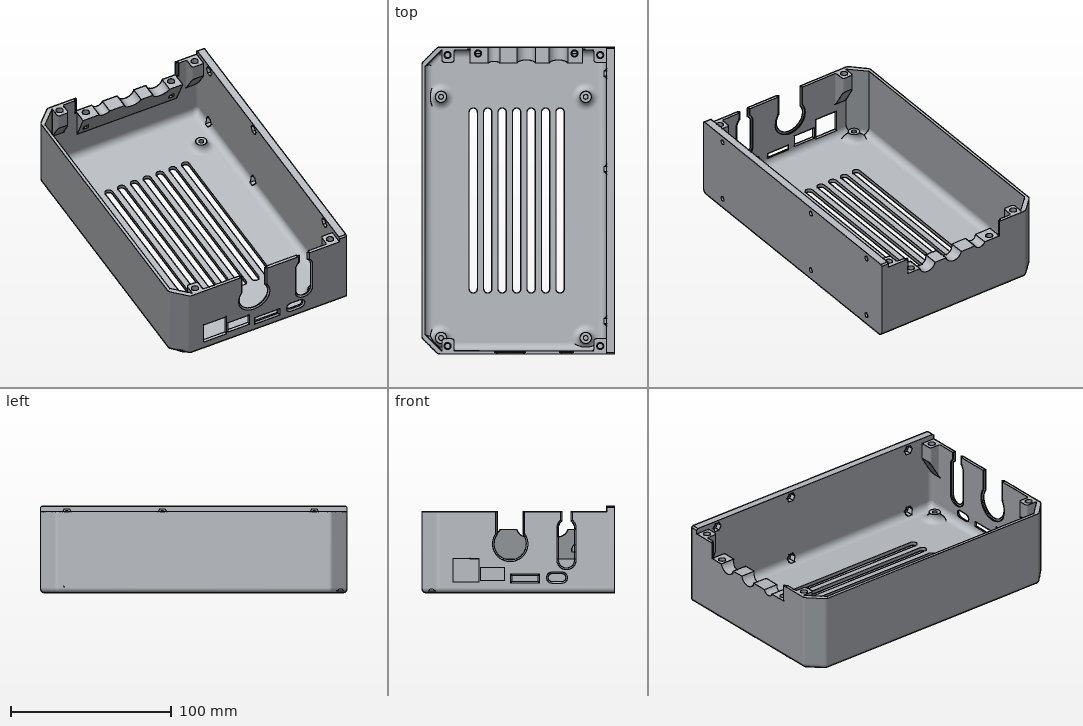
import cadquery as cq
import math

LENGTH_X = 120.0
LENGTH_Y = 191.0
WALL_TOP = 50.5
RIM_TOP = 54.0

WALL = 2.0
RIGHT_WALL = 5.0
DIAGONAL_WALL = 3.0
FLOOR = 2.5
CORNER_CUT = 10.0
OUTER_RADIUS = 3.0
CAVITY_FLOOR_RADIUS = 5.0
CAVITY_DIAGONAL_RADIUS = 3.0
CAVITY_CORNER_RADIUS = 3.0
RIM_CHAMFER = 1.0
RIM_OVERLAP = 10.0

RIGHT_INNER = LENGTH_X - RIGHT_WALL
BACK_INNER = LENGTH_Y - WALL

POST_SIZE_Y = 9.5
POST_LEFT_X = (12.5, 20.0)
POST_RIGHT_X = (107.0, RIGHT_INNER)
POST_FRONT_Z = 40.0
POST_UNDERSIDE_ANGLE = 60.0
POST_EDGE_RADIUS = 1.5
POST_ROOT_RADIUS = 1.0
POST_HOLES_X = (16.0, 111.0)
POST_HOLE_INSET_Y = 5.0

SCREW_TOP_DIAMETER = 4.4
SCREW_BOTTOM_DIAMETER = 3.4
SCREW_DEPTH = 14.0

CLAMP_X = (30.0, 100.0)
CLAMP_TOP = 39.5
CLAMP_DEPTH = 10.0
CLAMP_SLOPE_BOTTOM = 21.0
CLAMP_HOLES_X = (35.0, 95.0)
CLAMP_HOLE_INSET_Y = 4.0
GROOVES = ((45.0, 4.0), (65.0, 6.0), (85.0, 6.0))
GROOVE_AXIS_Z = CLAMP_TOP + 1.5

STANDOFFS_X = (12.0, 102.0)
STANDOFFS_Y = (10.0, 160.0)
STANDOFF_RADIUS = 3.5
STANDOFF_FLARE = 5.0
STANDOFF_HEIGHT = 5.0
STANDOFF_HOLE_DIAMETER = 3.0

VENT_COUNT = 7
VENT_PITCH = 9.0
VENT_WIDTH = 5.0
VENT_FIRST_X = 32.0
VENT_Y = (38.0, 153.0)

SIDE_HOLES_Y = (20.5, 115.0, 174.5)
SIDE_HOLES_Z = (6.5, 49.6)
SIDE_HOLE_DIAMETER = 3.0
NUT_ACROSS_FLATS = 5.5
NUT_POCKET_DEPTH = 3.5

EDGE_CHAMFER = 1.0
REBATE_WIDTH = 1.5
REBATE_DEPTH = 0.9
ROUND_NOTCH_X = 55.0
ROUND_NOTCH_Z = WALL_TOP - 20.0
ROUND_NOTCH_RADIUS = 10.0
ROUND_NOTCH_NECK = 16.0
KEY_NOTCH_X = 90.0
KEY_NOTCH_RADIUS = 5.0
KEY_NOTCH_Z = (WALL_TOP - 30.0, WALL_TOP - 10.0)
KEY_NOTCH_NECK = 5.5
SQUARE_PORT = (27.5, 14.1, 16.0, 14.8)
FLAT_PORT = (44.1, 11.8, 15.0, 8.0)
WIDE_PORT = (64.2, 8.95, 16.0, 3.5)
OVAL_PORT = (84.1, 9.5, 11.0, 5.0)
OPENING_DEPTH = WALL + CAVITY_FLOOR_RADIUS


def box(x, y, z):
    """Axis-aligned block between (low, high) limits."""
    size = (x[1] - x[0], y[1] - y[0], z[1] - z[0])
    return cq.Workplane("XY").box(*size, centered=False).translate((x[0], y[0], z[0]))


def tray_outline(left, right, front, back, cut):
    """Rectangle with both left corners cut off at 45 degrees."""
    return cq.Workplane("XY").polyline([
        (left + cut, front), (right, front), (right, back),
        (left + cut, back), (left, back - cut), (left, front + cut),
    ]).close()


def outer_body():
    body = tray_outline(0, LENGTH_X, 0, LENGTH_Y, CORNER_CUT).extrude(WALL_TOP)
    body = body.edges("(|Z or <Z) and (not >X)").fillet(OUTER_RADIUS)
    rim = box((RIGHT_INNER, LENGTH_X), (0, LENGTH_Y), (WALL_TOP - RIM_OVERLAP, RIM_TOP))
    rim = rim.faces(">Z").edges("|X").chamfer(RIM_CHAMFER)
    return body.union(rim)


def cavity():
    """Room inside the shell; its floor rounding is tighter along the 45 degree walls."""
    room = box((WALL, RIGHT_INNER), (WALL, BACK_INNER), (FLOOR, RIM_TOP))
    room = room.edges("|Z and >X").fillet(CAVITY_CORNER_RADIUS)
    room = room.faces("<Z").edges().fillet(CAVITY_FLOOR_RADIUS)
    inner_cut = CORNER_CUT - 2 * WALL + DIAGONAL_WALL * math.sqrt(2)
    diagonal = tray_outline(WALL, RIGHT_INNER, WALL, BACK_INNER, inner_cut).extrude(RIM_TOP)
    diagonal = diagonal.faces("<Z").edges("not (|X or |Y)").fillet(CAVITY_DIAGONAL_RADIUS)
    return room.intersect(diagonal.translate((0, 0, FLOOR)))


def back_wedge(x, depth, front_z, root_z):
    """Block on the back wall whose underside slopes from its front down to the wall."""
    inside_wall = BACK_INNER + WALL / 2
    profile = [
        (LENGTH_Y - depth, WALL_TOP), (LENGTH_Y - depth, front_z), (BACK_INNER, root_z),
        (inside_wall, root_z), (inside_wall, WALL_TOP),
    ]
    return cq.Workplane("YZ").polyline(profile).close().extrude(x[1] - x[0]).translate((x[0], 0, 0))


def mirror_y(shape):
    return shape.mirror("XZ", (0, LENGTH_Y / 2, 0))


def posts():
    root_z = POST_FRONT_Z - (POST_SIZE_Y - WALL) * math.tan(math.radians(POST_UNDERSIDE_ANGLE))
    left = back_wedge(POST_LEFT_X, POST_SIZE_Y, POST_FRONT_Z, root_z)
    left = left.faces("<Y").edges("|Z").fillet(POST_EDGE_RADIUS)
    right = back_wedge(POST_RIGHT_X, POST_SIZE_Y, POST_FRONT_Z, root_z)
    right = right.faces("<Y").edges("|Z and <X").fillet(POST_EDGE_RADIUS)
    back = left.union(right)
    return back.union(mirror_y(back))


def screw_hole(x, y, z):
    """Blind hole going down from z, narrowing towards its flat bottom."""
    return (cq.Workplane("XY", origin=(x, y, z)).circle(SCREW_TOP_DIAMETER / 2)
            .workplane(offset=-SCREW_DEPTH).circle(SCREW_BOTTOM_DIAMETER / 2).loft())


def screw_holes():
    holes = [screw_hole(x, LENGTH_Y - CLAMP_HOLE_INSET_Y, CLAMP_TOP) for x in CLAMP_HOLES_X]
    for x in POST_HOLES_X:
        for y in (POST_HOLE_INSET_Y, LENGTH_Y - POST_HOLE_INSET_Y):
            holes.append(screw_hole(x, y, WALL_TOP))
    return holes


def clamp_window():
    """Gap in the back wall above the clamp block, with a rebate along its inside edges."""
    gap = box(CLAMP_X, (LENGTH_Y - CLAMP_DEPTH, LENGTH_Y), (CLAMP_TOP, WALL_TOP))
    rebate_x = (CLAMP_X[0] - REBATE_WIDTH, CLAMP_X[1] + REBATE_WIDTH)
    return gap.union(box(rebate_x, (BACK_INNER, BACK_INNER + REBATE_DEPTH), (CLAMP_TOP, WALL_TOP)))


def cable_grooves():
    grooves = []
    for x, radius in GROOVES:
        plane = cq.Workplane("XZ", origin=(x, LENGTH_Y, GROOVE_AXIS_Z))
        grooves.append(plane.circle(radius).extrude(CLAMP_DEPTH))
    return grooves


def standoff():
    """Round post with a concave flare at its foot, drilled from the top."""
    foot = STANDOFF_RADIUS + STANDOFF_FLARE
    bend = STANDOFF_FLARE * (1 - math.sqrt(0.5))
    hole = STANDOFF_HOLE_DIAMETER / 2
    return (cq.Workplane("XZ")
            .moveTo(0, -FLOOR / 2).lineTo(foot, -FLOOR / 2).lineTo(foot, 0)
            .threePointArc((STANDOFF_RADIUS + bend, bend), (STANDOFF_RADIUS, STANDOFF_HEIGHT))
            .lineTo(hole, STANDOFF_HEIGHT).lineTo(hole, 0).lineTo(0, 0).close()
            .revolve(360, (0, 0, 0), (0, 1, 0)))


def standoffs():
    foot = standoff()
    return [foot.translate((x, y, FLOOR)) for x in STANDOFFS_X for y in STANDOFFS_Y]


def vents():
    length = VENT_Y[1] - VENT_Y[0]
    centres = [(VENT_FIRST_X + i * VENT_PITCH, sum(VENT_Y) / 2) for i in range(VENT_COUNT)]
    return cq.Workplane("XY").pushPoints(centres).slot2D(length, VENT_WIDTH, 90).extrude(FLOOR)


def side_hole():
    """Through hole along X with a nut pocket, which also clears the floor rounding."""
    pocket_start = RIGHT_INNER - CAVITY_FLOOR_RADIUS
    nut_diameter = NUT_ACROSS_FLATS / math.cos(math.pi / 6)
    pocket = (cq.Workplane("YZ", origin=(pocket_start, 0, 0)).polygon(6, nut_diameter)
              .extrude(CAVITY_FLOOR_RADIUS + NUT_POCKET_DEPTH))
    shank = cq.Workplane("YZ", origin=(RIGHT_INNER, 0, 0)).circle(SIDE_HOLE_DIAMETER / 2).extrude(RIGHT_WALL)
    return pocket.union(shank)


def side_holes():
    hole = side_hole()
    return [hole.translate((0, y, z)) for y in SIDE_HOLES_Y for z in SIDE_HOLES_Z]


def opening(x, z, sketch):
    """Plain cut through the front wall; sketch(plane, growth) draws its outline."""
    return sketch(cq.Workplane("XZ", origin=(x, 0, z)), 0).extrude(-OPENING_DEPTH)


def chamfered_opening(x, z, sketch):
    """Opening with a chamfer around its outside edge."""
    plane = cq.Workplane("XZ", origin=(x, 0, z))
    return opening(x, z, sketch).union(sketch(plane, EDGE_CHAMFER).extrude(-EDGE_CHAMFER, taper=45))


def notch(x, z, sketch):
    """Opening with a chamfer around its outside edge and a rebate around its inside edge."""
    inner_plane = cq.Workplane("XZ", origin=(x, WALL, z))
    rebate = sketch(inner_plane, REBATE_WIDTH).extrude(REBATE_DEPTH)
    return chamfered_opening(x, z, sketch).union(rebate)


def rectangle(width, height):
    return lambda plane, growth: plane.rect(width + 2 * growth, height + 2 * growth)


def oval(length, height):
    return lambda plane, growth: plane.slot2D(length + 2 * growth, height + 2 * growth)


def upright_oval(length, width):
    return lambda plane, growth: plane.slot2D(length + 2 * growth, width + 2 * growth, 90)


def disc(radius):
    return lambda plane, growth: plane.circle(radius + growth)


def neck(x, bottom, width):
    """Slot from the given height up through the top of the wall."""
    top = WALL_TOP + 2 * EDGE_CHAMFER
    return notch(x, (bottom + top) / 2, rectangle(width, top - bottom))


def front_openings():
    key_low, key_high = KEY_NOTCH_Z
    key_length = key_high - key_low + 2 * KEY_NOTCH_RADIUS
    key_shape = upright_oval(key_length, 2 * KEY_NOTCH_RADIUS)
    cuts = [
        notch(ROUND_NOTCH_X, ROUND_NOTCH_Z, disc(ROUND_NOTCH_RADIUS)),
        neck(ROUND_NOTCH_X, ROUND_NOTCH_Z, ROUND_NOTCH_NECK),
        notch(KEY_NOTCH_X, (key_low + key_high) / 2, key_shape),
        neck(KEY_NOTCH_X, key_high, KEY_NOTCH_NECK),
    ]
    ports = ((SQUARE_PORT, rectangle, opening), (FLAT_PORT, rectangle, opening),
             (WIDE_PORT, rectangle, chamfered_opening), (OVAL_PORT, oval, chamfered_opening))
    for (x, z, width, height), shape, make_cut in ports:
        cuts.append(make_cut(x, z, shape(width, height)))
    return cuts


def round_post_roots(part):
    """Rounds the vertical corners between the posts and the front and back walls."""
    reach = POST_ROOT_RADIUS / 2
    for x in (POST_LEFT_X[1], POST_RIGHT_X[0]):
        for y in (WALL, BACK_INNER):
            root = cq.selectors.BoxSelector((x - reach, y - reach, 0), (x + reach, y + reach, WALL_TOP))
            part = part.edges(root).edges("|Z").fillet(POST_ROOT_RADIUS)
    return part


def build():
    part = outer_body().cut(cavity())
    part = round_post_roots(part.union(posts()))
    part = part.union(back_wedge(CLAMP_X, CLAMP_DEPTH, CLAMP_TOP, CLAMP_SLOPE_BOTTOM))
    for foot in standoffs():
        part = part.union(foot)
    part = part.cut(clamp_window()).cut(vents())
    for cut in screw_holes() + cable_grooves() + side_holes() + front_openings():
        part = part.cut(cut)
    return part


result = build()